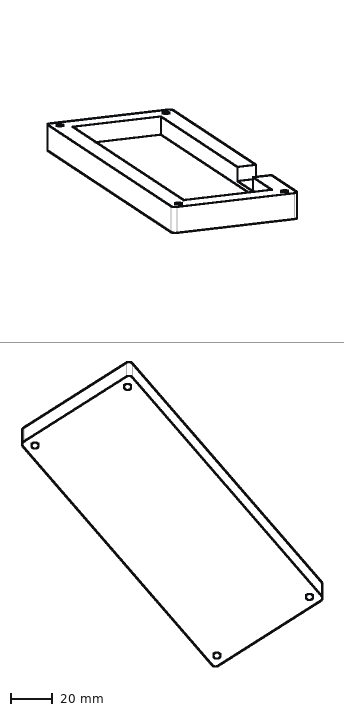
import cadquery as cq

length = 156.0
width = 65.0
height = 13.0
corner_radius = 2.0

rim = 9.7
floor_thickness = 3.9
pocket_length = length - 2 * rim
pocket_width = width - 2 * rim

hole_diameter = 3.5
hole_inset = 5.0

notch_width = 19.0
notch_depth = 7.0
notch_center_x = 35.4


def make_case():
    """Block with rounded vertical edges, standing on Z = 0."""
    block = cq.Workplane("XY").box(length, width, height, centered=(True, True, False))
    return block.edges("|Z").fillet(corner_radius)


def cut_pocket(body):
    """Rectangular pocket open at the top."""
    pocket = (
        cq.Workplane("XY", origin=(0, 0, floor_thickness))
        .rect(pocket_length, pocket_width)
        .extrude(height - floor_thickness)
    )
    return body.cut(pocket)


def cut_screw_holes(body):
    """One through hole in each corner of the rim."""
    return (
        body.faces("<Z")
        .workplane(origin=(0, 0, 0))
        .rect(length - 2 * hole_inset, width - 2 * hole_inset, forConstruction=True)
        .vertices()
        .hole(hole_diameter)
    )


def cut_cable_notch(body):
    """Notch open at the top, running from the pocket through the rear wall."""
    notch_center_y = (width - rim) / 2
    notch = (
        cq.Workplane("XY", origin=(notch_center_x, notch_center_y, height - notch_depth))
        .rect(notch_width, rim)
        .extrude(notch_depth)
    )
    return body.cut(notch)


result = cut_cable_notch(cut_screw_holes(cut_pocket(make_case())))